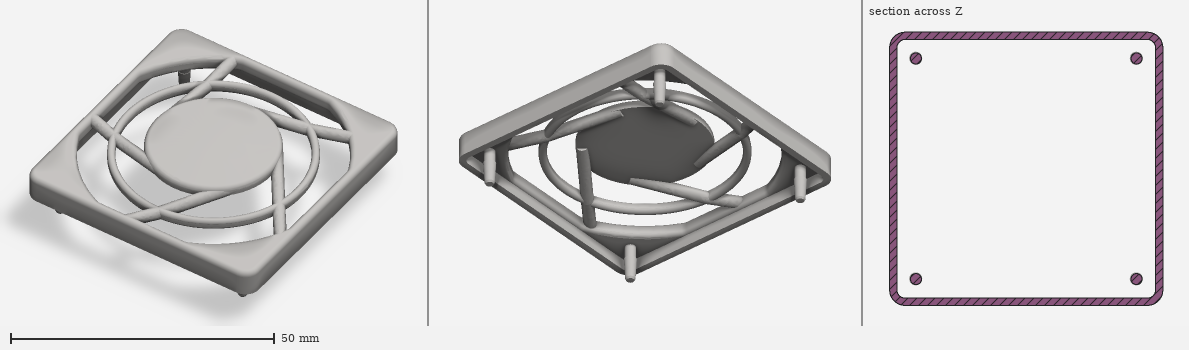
import cadquery as cq
import math

frame_side = 52.0
frame_height = 5.4
corner_radius = 3.0
edge_round = 1.05
rim_width = 2.05
skirt_thickness = 1.45
plate_thickness = 3.0
plate_bottom = frame_height - plate_thickness
under_edge_round = 0.8
opening_side = frame_side - 2 * rim_width
opening_radius = 26.0
opening_corner_radius = 2.0
opening_round = rim_width - edge_round

hub_radius = 13.2
hub_round = 1.05
hub_thickness = 2.0
hub_rim_height = 7.45
dome_height = 7.9
hub_bottom = hub_rim_height - hub_thickness

ring_radius = 19.45
ring_width = 1.55
ring_height = 2.3

spoke_count = 5
spoke_diameter = 2.5
spoke_offset = hub_radius - spoke_diameter / 2
spoke_hub_height = hub_rim_height - spoke_diameter / 2
spoke_ring_height = frame_height - spoke_diameter / 2
spoke_bend = math.sqrt(ring_radius**2 - spoke_offset**2)
spoke_reach = opening_radius + opening_round

pin_position = 20.95
pin_neck_radius = 1.1
pin_neck_length = 0.35
pin_shoulder_radius = 1.25
pin_end_radius = 1.0
pin_length = 5.2
pin_tip_length = 0.4
pin_tip_radius = 0.8


def block(side, height, bottom=0.0):
    """Square block centred on the Z axis."""
    return cq.Workplane("XY").workplane(offset=bottom).rect(side, side).extrude(height)


def make_frame():
    """Rounded box, hollow underneath, with the airflow opening through its top plate."""
    envelope = block(frame_side, frame_height).edges("|Z").fillet(corner_radius)
    envelope = envelope.faces(">Z").edges().fillet(edge_round)
    cavity = block(frame_side - 2 * skirt_thickness, plate_bottom)
    cavity = cavity.edges("|Z").fillet(corner_radius - skirt_thickness)

    opening = block(opening_side, plate_thickness, plate_bottom).intersect(
        cq.Workplane("XY").workplane(offset=plate_bottom).circle(opening_radius).extrude(plate_thickness)
    )
    opening = opening.edges("|Z").fillet(opening_corner_radius)
    blank = block(2 * frame_side, plate_thickness, plate_bottom).cut(opening)
    blank = blank.faces(">Z").edges().fillet(opening_round)
    blank = blank.faces("<Z").edges().fillet(under_edge_round)

    plate = envelope.intersect(blank)
    skirt = envelope.intersect(block(frame_side, plate_bottom)).cut(cavity)
    return skirt.union(plate)


def make_hub():
    """Disc with a rounded edge and a shallow dome on top."""
    dome_edge = hub_radius - hub_round
    dome_rise = dome_height - hub_rim_height
    sphere_radius = (dome_edge**2 + dome_rise**2) / (2 * dome_rise)
    mid_radius = dome_edge / 2
    mid_height = dome_height - sphere_radius + math.sqrt(sphere_radius**2 - mid_radius**2)
    diagonal = hub_round * math.sqrt(0.5)
    round_centre = hub_rim_height - hub_round
    return (
        cq.Workplane("XZ")
        .moveTo(0, hub_bottom)
        .lineTo(hub_radius, hub_bottom)
        .lineTo(hub_radius, round_centre)
        .threePointArc((dome_edge + diagonal, round_centre + diagonal), (dome_edge, hub_rim_height))
        .threePointArc((mid_radius, mid_height), (0, dome_height))
        .close()
        .revolve(360, (0, 0), (0, 1))
    )


def make_ring():
    """Ring whose upright section has fully rounded ends."""
    return (
        cq.Workplane("XZ")
        .center(ring_radius, frame_height - ring_height / 2)
        .slot2D(ring_height, ring_width, 90)
        .revolve(360, (-ring_radius, 0), (-ring_radius, 1))
    )


def make_spokes():
    """Round bars that slope from the hub to the ring, then run level into the frame."""
    path = (
        cq.Workplane("YZ", origin=(-spoke_offset, 0, 0))
        .moveTo(0, spoke_hub_height)
        .lineTo(spoke_bend, spoke_ring_height)
        .lineTo(spoke_reach, spoke_ring_height)
    )
    spoke = (
        cq.Workplane("XZ", origin=(-spoke_offset, 0, spoke_hub_height))
        .circle(spoke_diameter / 2)
        .sweep(path, transition="right")
    )
    limit = block(frame_side - 2 * edge_round, dome_height).intersect(
        cq.Workplane("XY").circle(spoke_reach).extrude(dome_height)
    )
    return [
        spoke.rotate((0, 0, 0), (0, 0, 1), index * 360 / spoke_count).intersect(limit)
        for index in range(spoke_count)
    ]


def make_pin(x, y):
    """Tapered pin on a neck that hangs from the corner plate."""
    return (
        cq.Workplane("XZ")
        .moveTo(0, plate_bottom)
        .lineTo(pin_neck_radius, plate_bottom)
        .lineTo(pin_neck_radius, -pin_neck_length)
        .lineTo(pin_shoulder_radius, -pin_neck_length)
        .lineTo(pin_end_radius, pin_tip_length - pin_length)
        .lineTo(pin_tip_radius, -pin_length)
        .lineTo(0, -pin_length)
        .close()
        .revolve(360, (0, 0), (0, 1))
        .translate((x, y, 0))
    )


result = make_frame().union(make_hub()).union(make_ring())
for bar in make_spokes():
    result = result.union(bar)
for x in (-pin_position, pin_position):
    for y in (-pin_position, pin_position):
        result = result.union(make_pin(x, y))